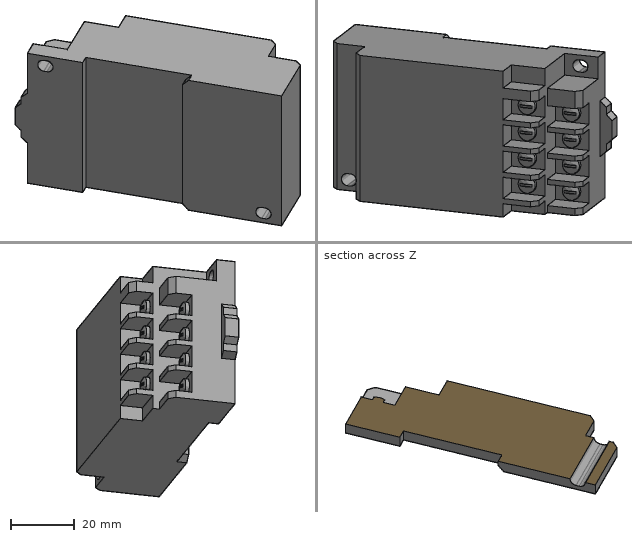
import cadquery as cq


length = 88.0
height = 31.0
width = 48.0
half_width = width / 2
body_start = 4.05
chamfer = 2.0
step_length = 11.3
shoulder_height = 21.5
upper_start = body_start + step_length
upper_end = length - step_length

channel_start = 22.35
channel_end = 55.3
channel_depth = 3.3

clip_height = 4.5
clip_shelf_x = 1.9
clip_root_half_width = 9.15
clip_shelf_outer = 7.3
clip_shelf_inner = 4.9
clip_tip_half_width = 3.1

hole_length = 5.0
hole_width = 4.0
hole_inset_x = 6.0
hole_inset_z = 3.6

terminal_count = 4
terminal_pitch = 8.6
slot_width = 6.95
slot_depth = 7.3
foot_height = 6.1
lower_slot_inset = 5.8
upper_slot_inset = 9.6
lower_slot_floor = shoulder_height - slot_depth
lower_first_slot = -half_width + lower_slot_inset
lower_recess_width = 7.1
upper_slot_floor = height - slot_depth
upper_first_slot = -half_width + upper_slot_inset
upper_recess_width = 5.5
upper_end_gap = 4.4

screw_diameter = 5.7
screw_rim = 1.2
screw_dome = 1.1
driver_slot_width = 0.8
driver_slot_depth = 0.5


def block(x_range, y_range, z_range):
    """Box spanning the given ranges."""
    (x0, x1), (y0, y1), (z0, z1) = x_range, y_range, z_range
    box = cq.Workplane("XY").box(x1 - x0, y1 - y0, z1 - z0, centered=False)
    return box.translate((x0, y0, z0))


def make_body():
    """Stepped housing profile with chamfered shoulders."""
    outline = [
        (body_start, 0),
        (length, 0),
        (length, shoulder_height - chamfer),
        (length - chamfer, shoulder_height),
        (upper_end, shoulder_height),
        (upper_end, height - chamfer),
        (upper_end - chamfer, height),
        (upper_start + chamfer, height),
        (upper_start, height - chamfer),
        (upper_start, shoulder_height),
        (body_start + chamfer, shoulder_height),
        (body_start, shoulder_height - chamfer),
    ]
    return cq.Workplane("XY").polyline(outline).close().extrude(half_width, both=True)


def make_channel():
    """Rail channel, widened by a corner chamfer at each end of its +X wall."""
    outline = [
        (channel_start, -half_width),
        (channel_end + chamfer, -half_width),
        (channel_end, -half_width + chamfer),
        (channel_end, half_width - chamfer),
        (channel_end + chamfer, half_width),
        (channel_start, half_width),
    ]
    return cq.Workplane("XZ").polyline(outline).close().extrude(-channel_depth)


def make_clip():
    """Stepped release tab on the end of the base."""
    half_outline = [
        (body_start, clip_root_half_width),
        (clip_shelf_x, clip_shelf_outer),
        (clip_shelf_x, clip_shelf_inner),
        (0, clip_tip_half_width),
    ]
    mirrored = [(x, -z) for x, z in reversed(half_outline)]
    return cq.Workplane("XZ").polyline(half_outline + mirrored).close().extrude(-clip_height)


def make_holes():
    """Two elongated mounting holes running the full height."""
    x_positions = (body_start + hole_inset_x, length - hole_inset_x)
    z_offset = half_width - hole_inset_z
    centres = [(x_positions[0], z_offset), (x_positions[1], -z_offset)]
    return cq.Workplane("XZ").pushPoints(centres).slot2D(hole_length, hole_width).extrude(-height)


def slot_centres(first):
    """Z positions of a terminal row, counted from its first slot."""
    return [first + i * terminal_pitch for i in range(terminal_count)]


def make_slots(x_start, floor, first):
    """Row of terminal slots, open at the end face and at the top of their level."""
    slots = cq.Workplane("XY")
    x_range = (x_start, x_start + step_length)
    y_range = (floor, floor + slot_depth)
    for z in slot_centres(first):
        slots = slots.add(block(x_range, y_range, (z - slot_width / 2, z + slot_width / 2)))
    return slots.combine()


def make_screw(x, floor, z):
    """Domed screw head with a straight driver slot, standing on a slot floor."""
    radius = screw_diameter / 2
    top = screw_rim + screw_dome
    dome_radius = (radius**2 + screw_dome**2) / (2 * screw_dome)
    dome_mid_x = -radius / 2
    dome_mid_y = top - dome_radius + (dome_radius**2 - dome_mid_x**2) ** 0.5
    head = (
        cq.Workplane("XY")
        .lineTo(-radius, 0)
        .lineTo(-radius, screw_rim)
        .threePointArc((dome_mid_x, dome_mid_y), (0, top))
        .close()
        .revolve(360, (0, 0, 0), (0, 1, 0))
    )
    half_slot = driver_slot_width / 2
    driver_slot = block((-radius, radius), (top - driver_slot_depth, top), (-half_slot, half_slot))
    return head.cut(driver_slot).translate((x, floor, z))


lower_x = (body_start, upper_start)
upper_x = (upper_start, upper_start + step_length)

result = make_body().cut(make_channel()).union(make_clip())

lower_y = (foot_height, shoulder_height)
upper_y = (upper_slot_floor, height)
result = result.cut(block(lower_x, lower_y, (half_width - lower_recess_width, half_width)))
result = result.cut(block(upper_x, upper_y, (half_width - upper_recess_width, half_width)))
result = result.cut(block(upper_x, upper_y, (-half_width, -half_width + upper_end_gap)))
result = result.cut(make_holes())

for x_start, floor, first in (
    (body_start, lower_slot_floor, lower_first_slot),
    (upper_start, upper_slot_floor, upper_first_slot),
):
    result = result.cut(make_slots(x_start, floor, first))
    for z in slot_centres(first):
        result = result.union(make_screw(x_start + step_length / 2, floor, z))